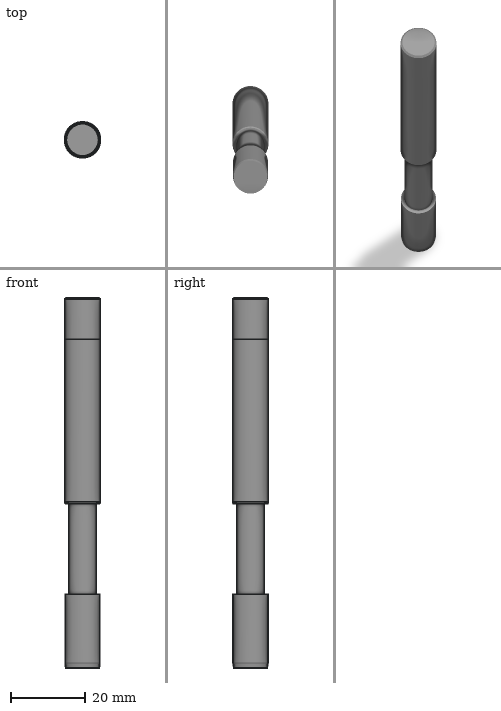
import cadquery as cq

overall_length = 100.0
cap_length = 11.2
foot_length = 20.0
foot_taper_height = 1.4
barrel_bottom = 44.4
cap_bottom = overall_length - cap_length

barrel_diameter = 9.68
neck_diameter = 7.5
foot_diameter = 9.45
foot_end_diameter = 9.05

cap_chamfer = 0.5
barrel_chamfer_width = 0.25
barrel_chamfer_height = 0.45


def make_stem():
    """Stepped round stem: tapered foot, slim neck and a barrel chamfered at its lower end."""
    foot_radius = foot_diameter / 2
    neck_radius = neck_diameter / 2
    barrel_radius = barrel_diameter / 2
    half_profile = [
        (0, 0),
        (foot_end_diameter / 2, 0),
        (foot_radius, foot_taper_height),
        (foot_radius, foot_length),
        (neck_radius, foot_length),
        (neck_radius, barrel_bottom),
        (barrel_radius - barrel_chamfer_width, barrel_bottom),
        (barrel_radius, barrel_bottom + barrel_chamfer_height),
        (barrel_radius, cap_bottom),
        (0, cap_bottom),
    ]
    return cq.Workplane("XZ").polyline(half_profile).close().revolve(360, (0, 0, 0), (0, 1, 0))


def make_cap():
    """Round cap seated on the barrel and flush with it, chamfered around the top."""
    blank = cq.Workplane("XY").workplane(offset=cap_bottom).circle(barrel_diameter / 2).extrude(cap_length)
    return blank.faces(">Z").chamfer(cap_chamfer)


stem = make_stem()
cap = make_cap()

result = cq.Compound.makeCompound([stem.val(), cap.val()])